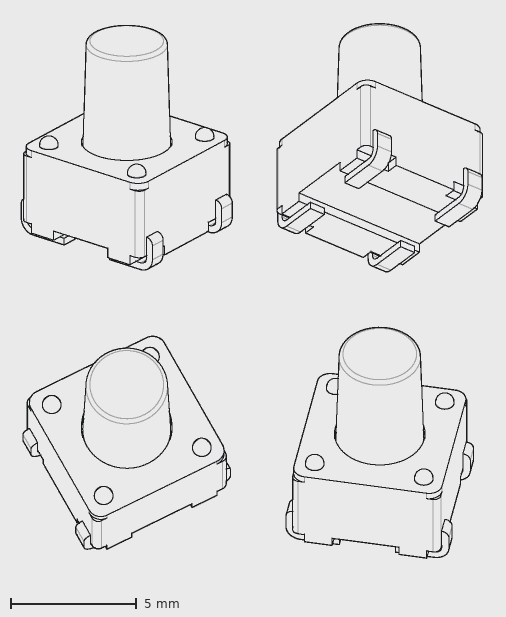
import cadquery as cq
import math

total_height = 8.3
side = 6.0
lead_thickness = 0.3
foot_height = 0.4
cover_top = 3.9
cover_thickness = 0.3
wall_corner_radius = 0.27
cover_corner_radius = 0.52

slot_width = 2.705
recess_depth = 0.52
recess_length = 1.56

hole_diameter = 3.6

dome_diameter = 0.75
dome_height = 0.4
dome_offset = 2.21

lead_width = 0.7
lead_offset = 2.25
lead_top = 1.5
lead_inner_end = 1.14
lead_bend_radius = 0.3

plunger_base_diameter = 3.5
plunger_top_diameter = 3.24
plunger_fillet = 0.16

half_side = side / 2
foot_bottom = lead_thickness
wall_bottom = foot_bottom + foot_height
cover_bottom = cover_top - cover_thickness


def square_prism(bottom, top):
    """Square block with the housing footprint between two levels."""
    return cq.Workplane("XY", origin=(0, 0, bottom)).rect(side, side).extrude(top - bottom)


def four_corners(offset_x, offset_y):
    """Points mirrored into the four quadrants."""
    return [(sx * offset_x, sy * offset_y) for sx in (-1, 1) for sy in (-1, 1)]


def make_foot():
    """Bottom layer, cut by the slot along Y and by a recess at each corner."""
    foot = square_prism(foot_bottom, wall_bottom)
    base = cq.Workplane("XY", origin=(0, 0, foot_bottom))
    slot = base.rect(slot_width, side).extrude(foot_height)
    recess_centres = four_corners(half_side - recess_depth / 2, half_side - recess_length / 2)
    recesses = base.pushPoints(recess_centres).rect(recess_depth, recess_length).extrude(foot_height)
    return foot.cut(slot).cut(recesses)


def make_dome(x, y):
    """Rivet head: a hemisphere on a short round stem."""
    radius = dome_diameter / 2
    stem_height = dome_height - radius
    profile = (
        cq.Workplane("XZ")
        .lineTo(radius, 0)
        .lineTo(radius, stem_height)
        .radiusArc((0, dome_height), -radius)
        .close()
    )
    return profile.revolve(360, (0, 0), (0, 1)).translate((x, y, cover_top))


def make_lead(y):
    """J-shaped lead on the +X side: under the foot, then up the wall to a rounded tip."""
    outer_x = half_side + lead_thickness
    outer_bend = lead_bend_radius + lead_thickness
    profile = (
        cq.Workplane("XZ")
        .moveTo(lead_inner_end, 0)
        .lineTo(outer_x - outer_bend, 0)
        .radiusArc((outer_x, outer_bend), -outer_bend)
        .lineTo(outer_x, lead_top - lead_thickness)
        .radiusArc((half_side, lead_top), -lead_thickness)
        .lineTo(half_side, outer_bend)
        .radiusArc((half_side - lead_bend_radius, lead_thickness), lead_bend_radius)
        .lineTo(lead_inner_end, lead_thickness)
        .close()
    )
    return profile.extrude(lead_width / 2, both=True).translate((0, y, 0))


def make_housing():
    """Case with its cover, rivet heads and four leads, open at the top for the plunger."""
    walls = square_prism(wall_bottom, cover_bottom).edges("|Z").fillet(wall_corner_radius)
    cover = square_prism(cover_bottom, cover_top).edges("|Z").fillet(cover_corner_radius)
    hole = (
        cq.Workplane("XY", origin=(0, 0, cover_bottom))
        .circle(hole_diameter / 2)
        .extrude(cover_thickness)
    )
    housing = walls.union(cover).union(make_foot()).cut(hole)
    for x, y in four_corners(dome_offset, dome_offset):
        housing = housing.union(make_dome(x, y))
    for y in (-lead_offset, lead_offset):
        lead = make_lead(y)
        housing = housing.union(lead).union(lead.mirror("YZ"))
    return housing


def make_plunger():
    """Tapered button standing on the floor of the cover hole."""
    height = total_height - cover_bottom
    taper = math.degrees(math.atan((plunger_base_diameter - plunger_top_diameter) / 2 / height))
    return (
        cq.Workplane("XY", origin=(0, 0, cover_bottom))
        .circle(plunger_base_diameter / 2)
        .extrude(height, taper=taper)
        .faces(">Z")
        .edges()
        .fillet(plunger_fillet)
    )


housing = make_housing()
plunger = make_plunger()

result = cq.Compound.makeCompound([housing.val(), plunger.val()])